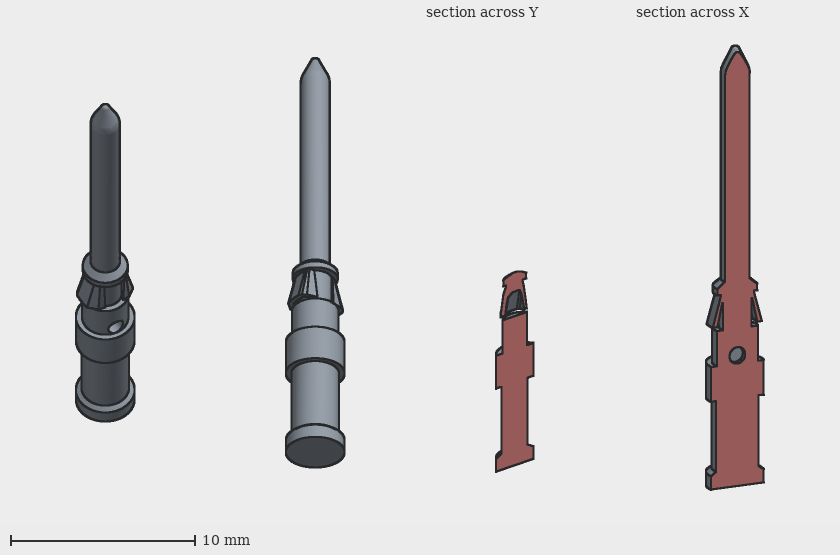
import cadquery as cq

total_height = 25.0
rim_top = 0.78
rim_cone_top = 1.0
collar_bottom = 5.0
collar_top = 7.0
neck_top = 9.0
latch_bottom = 9.2
shoulder_bottom = 11.0
shoulder_cone_bottom = 11.38
shoulder_top = 11.75
nose_round_bottom = 23.45
nose_cone_bottom = 23.88
tip_dome_bottom = 24.8

collar_radius = 3.2 / 2
barrel_radius = 2.6 / 2
neck_radius = 2.52 / 2
shoulder_radius = 2.45 / 2
groove_radius = 1.8 / 2
pin_radius = 1.6 / 2
nose_cone_radius = 0.7
tip_radius = 0.25

hole_radius = 0.9 / 2
hole_height = collar_top + hole_radius

latch_inner_scale = 0.8
latch_center_x = 0.05
latch_root = [
    (-0.72, 0.62), (-0.6, 0.85), (-0.52, 0.95), (-0.4, 1.0),
    (0.18, 1.0), (0.52, 0.95), (0.88, 0.8), (1.02, 0.62),
]
latch_end = [
    (-0.92, 0.55), (-0.8, 1.18), (-0.65, 1.4), (-0.48, 1.5),
    (0.12, 1.5), (0.55, 1.42), (0.98, 0.95), (1.02, 0.55),
]


def make_body():
    """Revolve the stepped body with its rounded nose and domed tip about Z."""
    return (
        cq.Workplane("XZ")
        .lineTo(collar_radius, 0)
        .lineTo(collar_radius, rim_top)
        .lineTo(barrel_radius, rim_cone_top)
        .lineTo(barrel_radius, collar_bottom)
        .lineTo(collar_radius, collar_bottom)
        .lineTo(collar_radius, collar_top)
        .lineTo(neck_radius, collar_top)
        .lineTo(neck_radius, neck_top)
        .lineTo(groove_radius, neck_top)
        .lineTo(groove_radius, shoulder_bottom)
        .lineTo(shoulder_radius, shoulder_bottom)
        .lineTo(shoulder_radius, shoulder_cone_bottom)
        .lineTo(pin_radius, shoulder_top)
        .lineTo(pin_radius, nose_round_bottom)
        .tangentArcPoint((nose_cone_radius, nose_cone_bottom), relative=False)
        .lineTo(tip_radius, tip_dome_bottom)
        .radiusArc((0, total_height), -dome_radius())
        .close()
        .revolve(360, (0, 0, 0), (0, 1, 0))
    )


def dome_radius():
    """Sphere radius of the tip cap from its base radius and height."""
    height = total_height - tip_dome_bottom
    return (tip_radius**2 + height**2) / (2 * height)


def loft_latch(end_points, root_points):
    """Join the free-end and root outlines with straight-ruled walls."""
    return (
        cq.Workplane("XY", origin=(0, 0, latch_bottom))
        .polyline(end_points)
        .close()
        .workplane(offset=shoulder_bottom - latch_bottom)
        .polyline(root_points)
        .close()
        .loft(ruled=True, combine=True)
    )


def inner_outline(outer):
    """Shrink the outer wall towards the axis and leave the inboard side open."""
    shrunk = [
        (latch_center_x + (x - latch_center_x) * latch_inner_scale, y * latch_inner_scale)
        for x, y in outer
    ]
    return [(shrunk[0][0], 0)] + shrunk + [(shrunk[-1][0], 0)]


def make_latch():
    """Bent spring tongue on the +Y side, flaring outwards from the shoulder."""
    outer = loft_latch(latch_end, latch_root)
    hollow = loft_latch(inner_outline(latch_end), inner_outline(latch_root))
    return outer.cut(hollow)


body = make_body()

inspection_hole = (
    cq.Workplane("YZ", origin=(0, 0, hole_height))
    .circle(hole_radius)
    .extrude(collar_radius)
)
body = body.cut(inspection_hole)

latch = make_latch()
result = body.union(latch).union(latch.mirror("XZ"))